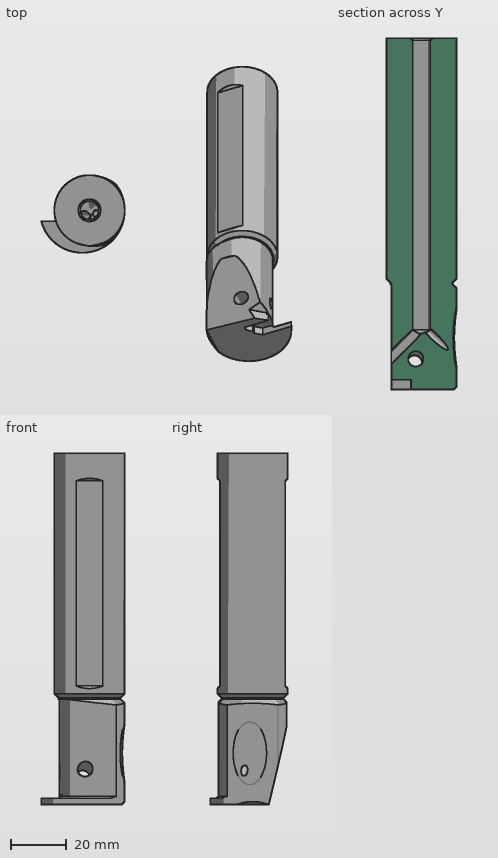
import cadquery as cq
import math

total_length = 126.5
shank_diameter = 25.4
shank_radius = shank_diameter / 2
shank_bottom = 40.0

flat_distance = 11.8
flat_bottom = 42.8
flat_top = 116.5

groove_radius = 11.3
groove_bottom = 38.0
groove_top = shank_bottom - (shank_radius - groove_radius)

neck_offset = 1.4
neck_diameter = 24.7
neck_radius = neck_diameter / 2
flange_radius = 15.3
flange_offset = shank_radius - flange_radius
flange_thickness = 2.4
flange_edge_y = -3.9
flange_bevel = 0.6
heel_chamfer = 1.1

slope_foot_y = 5.7
slope_top_y = 12.5
slope_top_z = 27.8
slope_turn = 3.5
slope_pivot_x = 8.9

hollow_radius = 51.9
hollow_z = 18.6
hollow_floor_x = 11.5
hollow_turn = 4.0

slot_height = 3.5
slot_wall_y = 1.9
slot_end_x = -3.8
slot_corner_y = -2.0
slot_shoulder_x = -6.3
slot_relief_radius = 2.2
slot_relief_y = 1.5

bevel_side_height = 3.8
bevel_top_angle = 33.0
bevel_wall_angle = 34.0
bevel_ceiling_tilt = 23.0
bevel_start_x = -10.9

bore_diameter = 6.7
bore_mouth_diameter = 8.1
bore_bottom = 19.6
drill_point_angle = 118.0
front_hole_diameter = 5.3
front_hole_entry = cq.Vector(-1.5, -12.1, 12.9)
front_hole_exit = cq.Vector(-2.5, 7.8, 9.6)
side_hole_diameter = 3.4
side_hole_entry = cq.Vector(-10.9, -0.9, 11.6)
side_hole_exit = cq.Vector(-0.6, -2.0, 21.9)
hollow_hole_diameter = 2.4
hollow_hole_entry = cq.Vector(12.7, -3.2, 11.4)
hollow_hole_exit = cq.Vector(1.6, -0.9, 21.9)

margin = 6.3
reach = 2 * flange_radius


def disc(radius, center_x, height):
    """Upright cylinder standing on Z = 0."""
    return cq.Workplane("XY").center(center_x, 0).circle(radius).extrude(height)


def straight_hole(start, end, diameter):
    """Round cutter through two points, starting a little outside the part."""
    direction = (end - start).normalized()
    length = (end - start).Length
    first = start - direction * margin
    return cq.Workplane(cq.Solid.makeCylinder(diameter / 2, length + margin, first, direction))


def turned_envelope():
    """Solid of revolution: the shank, its groove and the cone that opens below the groove."""
    profile = [
        (0, 0),
        (groove_radius + groove_bottom, 0),
        (groove_radius, groove_bottom),
        (groove_radius, groove_top),
        (shank_radius, shank_bottom),
        (shank_radius, total_length),
        (0, total_length),
    ]
    return cq.Workplane("XZ").polyline(profile).close().revolve(360, (0, 0, 0), (0, 1, 0))


def flat_cutter(side):
    """Trapezoid bar that mills one flat with 45 degree run-outs."""
    profile = [
        (side * flat_distance, flat_bottom),
        (side * flat_distance, flat_top),
        (side * (flat_distance + margin), flat_top + margin),
        (side * (flat_distance + margin), flat_bottom - margin),
    ]
    return cq.Workplane("YZ").polyline(profile).close().extrude(reach, both=True)


def cutter_body():
    """Eccentric neck on its flange, with a bevel where the two meet."""
    neck = disc(neck_radius, neck_offset, shank_bottom)
    bevel_ring = cq.Workplane(cq.Solid.makeCone(
        neck_radius + flange_bevel, neck_radius, flange_bevel,
        cq.Vector(neck_offset, 0, flange_thickness), cq.Vector(0, 0, 1)))
    front_half = cq.Workplane("XY").box(2 * reach, reach, shank_bottom, centered=(True, False, False))
    front_half = front_half.translate((0, flange_edge_y - reach, 0))
    flange = disc(flange_radius, flange_offset, flange_thickness).union(bevel_ring).intersect(front_half)
    envelope = disc(flange_radius, flange_offset, shank_bottom)
    return neck.union(flange).intersect(envelope)


def heel_chamfer_cutter():
    """45 degree prism along Y at the +X side of the end face."""
    profile = [
        (shank_radius - heel_chamfer, 0),
        (shank_radius + margin, 0),
        (shank_radius + margin, heel_chamfer + margin),
    ]
    return cq.Workplane("XZ").polyline(profile).close().extrude(reach, both=True)


def slope_cutter():
    """Wedge that leans the +Y side of the body inward, turned a little about Z."""
    profile = [
        (slope_foot_y, 0),
        (slope_top_y, slope_top_z),
        (reach, slope_top_z),
        (reach, 0),
    ]
    wedge = cq.Workplane("YZ").polyline(profile).close().extrude(reach, both=True)
    pivot_y = (slope_foot_y + slope_top_y) / 2
    return wedge.rotate((slope_pivot_x, pivot_y, 0), (slope_pivot_x, pivot_y, 1), slope_turn)


def hollow_cutter():
    """Large roller, nearly along Y, that dishes the +X side."""
    center_x = hollow_floor_x + hollow_radius
    roller = cq.Workplane("XZ").center(center_x, hollow_z).circle(hollow_radius).extrude(reach, both=True)
    return roller.rotate((hollow_floor_x, 0, 0), (hollow_floor_x, 0, 1), -hollow_turn)


def slot_cutter():
    """Slot with one slanted inner corner and one corner relieved by an arc."""
    relief_x = slot_end_x + slot_relief_radius
    return (
        cq.Workplane("XY")
        .moveTo(-reach, flange_edge_y)
        .lineTo(slot_shoulder_x, flange_edge_y)
        .lineTo(slot_end_x, slot_corner_y)
        .lineTo(slot_end_x, slot_relief_y - slot_relief_radius)
        .radiusArc((relief_x, slot_relief_y), -slot_relief_radius)
        .lineTo(relief_x, slot_wall_y)
        .lineTo(-reach, slot_wall_y)
        .close()
        .extrude(slot_height)
    )


def bevel_cutter():
    """Slanted wall that trims the corner between the slot and the sloped back."""
    far_y = slope_foot_y + margin
    rise = (far_y - slot_wall_y) * math.tan(math.radians(bevel_top_angle))
    side = [
        (slot_wall_y, -reach),
        (slot_wall_y, bevel_side_height),
        (far_y, bevel_side_height + rise),
        (far_y, -reach),
    ]
    run = (far_y - slot_wall_y) / math.tan(math.radians(bevel_wall_angle))
    plan = [
        (bevel_start_x, slot_wall_y),
        (bevel_start_x + run, far_y),
        (-reach, far_y),
        (-reach, slot_wall_y),
    ]
    side_block = cq.Workplane("YZ").polyline(side).close().extrude(reach, both=True)
    hinge = (bevel_start_x, 0, bevel_side_height)
    side_block = side_block.rotate(hinge, (bevel_start_x, 1, bevel_side_height), bevel_ceiling_tilt)
    plan_block = cq.Workplane("XY").polyline(plan).close().extrude(reach)
    return side_block.intersect(plan_block)


def bore_cutter():
    """Blind bore from the shank end with a 45 degree mouth and a drill-point floor."""
    bore_radius = bore_diameter / 2
    mouth_radius = bore_mouth_diameter / 2
    point_height = bore_radius * math.tan(math.radians(90 - drill_point_angle / 2))
    profile = [
        (0, bore_bottom),
        (bore_radius, bore_bottom + point_height),
        (bore_radius, total_length - (mouth_radius - bore_radius)),
        (mouth_radius, total_length),
        (0, total_length),
    ]
    return cq.Workplane("XZ").polyline(profile).close().revolve(360, (0, 0, 0), (0, 1, 0))


upper_shank = disc(shank_radius, 0, total_length).cut(disc(reach, 0, groove_bottom))
lower_body = cutter_body().intersect(disc(reach, 0, groove_bottom))
result = upper_shank.union(lower_body).intersect(turned_envelope())

for flat_side in (-1, 1):
    result = result.cut(flat_cutter(flat_side))

cutters = (
    heel_chamfer_cutter(),
    slope_cutter(),
    hollow_cutter(),
    slot_cutter(),
    bevel_cutter(),
    bore_cutter(),
)
for cutter in cutters:
    result = result.cut(cutter)

coolant_holes = (
    (front_hole_entry, front_hole_exit, front_hole_diameter),
    (side_hole_entry, side_hole_exit, side_hole_diameter),
    (hollow_hole_entry, hollow_hole_exit, hollow_hole_diameter),
)
for hole_entry, hole_exit, hole_diameter in coolant_holes:
    result = result.cut(straight_hole(hole_entry, hole_exit, hole_diameter))